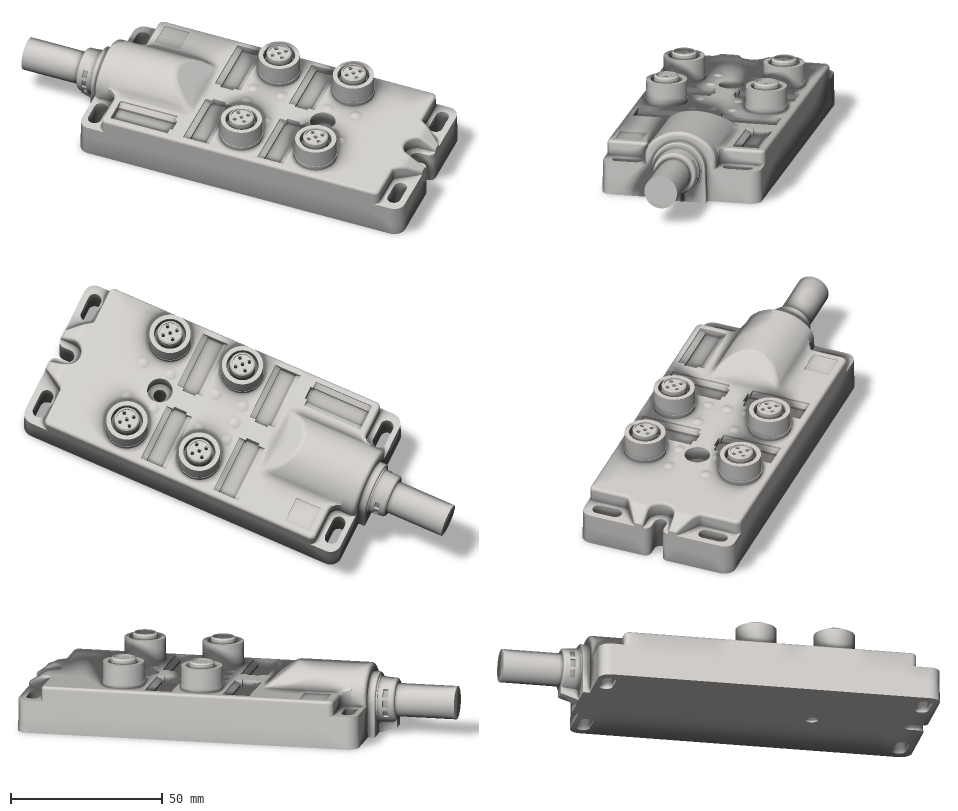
import cadquery as cq
import math

LENGTH = 115.3
WIDTH = 54.0
DECK_Z = 16.0
EAR_Z = 11.0
TOTAL_HEIGHT = 25.1
DRAFT = 1.0
CORNER_R = 3.9
RIM_R = 1.0

EAR_X = 8.3
EAR_CORNER_R = 3.2
DECK_CORNER_R = 1.9
SLOT_WIDTH = 4.5
SLOT_LENGTH = 10.2
SLOT_Y = 18.8
SLOT_INSET = 4.2
FAR_SLOT_INSET = 4.6

FAR_EAR_Y = 12.9
FAR_LUG_Y = 7.3
FAR_EAR_CORNER_R = 1.5
NOTCH_WIDTH = 4.3
NOTCH_X = 110.5
NOTCH_MOUTH_R = 2.2
NOTCH_RECESS_R = 4.5
SLOPE_X = 109.4
SLOPE_ANGLE = 32.0
SLOPE_BLEND_R = 4.3

HOOD_R = 13.8
HOOD_TOP = 23.0
HOOD_AXIS_Z = HOOD_TOP - HOOD_R
HOOD_HALF_WIDTH = 11.9
HOOD_RAMP_TOP_X = 25.3
HOOD_RAMP_END_X = 34.8
HOOD_BLEND_R = 2.2
HOOD_FOOT_HALF_WIDTH = 13.2
HOOD_SHOULDER_R = 7.2
HOOD_FRONT_LENGTH = EAR_X - EAR_CORNER_R
HOOD_FRONT_R = 1.1

CABLE_D = 11.0
CABLE_Z = 11.0
CABLE_LENGTH = 28.3
GLAND_X = -8.3
GLAND_R = 7.2
GLAND_REAR_R = 7.6
GLAND_EDGE_R = 0.9
SHOULDER_X = -2.7
SHOULDER_R = 8.0
COLLAR_X = -2.3
COLLAR_R = 9.0
COLLAR_FOOT_HALF = 9.5
COLLAR_EDGE_R = 0.5
COLLAR_OVERLAP = 2.9
WINDOW_X = -6.2
WINDOW_WIDTH = 1.7
WINDOW_DEPTH = 0.6
WINDOW_ANGLE = 22.0
WINDOW_PITCH = 29.0
WEDGE_WIDTH = 4.3
WEDGE_RISE = 2.0

SOCKET_XS = (54.5, 81.0)
SOCKET_Y = 17.0
SOCKET_D = 13.6
SOCKET_FOOT_D = 14.0
SOCKET_FOOT_TOP = 17.4
SOCKET_TOP = 23.7
SOCKET_BORE_D = 10.6
SOCKET_FLOOR = 20.1
INSERT_D = 8.3
INSERT_CHAMFER = 0.5
INSERT_RECESS_D = 6.9
INSERT_RECESS_DEPTH = 0.6
SEAL_TUBE_R = 0.6
CONTACT_D = 1.1
CONTACT_MOUTH_D = 1.5
CONTACT_CIRCLE_R = 2.5
CONTACT_DEPTH = 2.9
CONTACT_MOUTH_DEPTH = 0.5
OUTER_CONTACTS = 4

LABEL_WIDTH = 9.2
LABEL_LENGTH = 20.4
LABEL_FLOOR_WIDTH = 5.7
LABEL_DEPTH = 2.5
LABEL_RIM_DEPTH = 0.6
LABEL_SLOPE_DEPTH = 1.0
LABEL_TAB_LENGTH = 0.9
LABEL_TAB_WIDTH = 4.6
LABEL_OUTER_Y = 24.4
LABEL_XS = (41.4, 67.8)
SIDE_LABEL_X = 10.9
SIDE_LABEL_Y = -20.0
PLATE_SIZE = 8.9
PLATE_DEPTH = 0.3

LAMP_D = 3.7
LAMP_HEIGHT = 0.5
LAMP_Y = 6.6
LAMP_XS = (49.5, 59.5, 76.0, 85.9)
CENTRE_HOLE_X = 76.8
CENTRE_HOLE_D = 4.3
CENTRE_BORE_D = 8.5

BIG = 143.6
OVERLAP = 1.5


def block(x0, x1, y0, y1, z0, z1):
    """Axis-aligned box between two opposite corners."""
    return cq.Workplane("XY").box(x1 - x0, y1 - y0, z1 - z0, centered=False).translate((x0, y0, z0))


def cylinder(diameter, z0, z1):
    """Upright cylinder on the Z axis."""
    return cq.Workplane("XY", origin=(0, 0, z0)).circle(diameter / 2).extrude(z1 - z0)


def both_sides(shape):
    """The shape together with its mirror image across Y = 0."""
    return shape.union(shape.mirror("XZ"))


def upright_edges(body, x0, x1, y0, y1, z0):
    """Near-vertical edges whose middle lies in the given column above z0."""
    column = cq.selectors.BoxSelector((x0, y0, z0), (x1, y1, BIG))
    return body.edges(column).filter(lambda edge: abs(edge.tangentAt(0.5).z) > 0.9)


def drafted_block(height):
    """Housing footprint pulled upwards with draft."""
    return (
        cq.Workplane("XY")
        .sketch()
        .rect(LENGTH, WIDTH)
        .vertices()
        .fillet(CORNER_R)
        .finalize()
        .extrude(height, taper=DRAFT)
        .translate((LENGTH / 2, 0, 0))
    )


def near_ear_space():
    """Space above one cable-side ear, with a round inner corner."""
    space = block(-BIG, EAR_X, HOOD_HALF_WIDTH, BIG, EAR_Z, BIG)
    return space.edges("|Z and >X and <Y").fillet(EAR_CORNER_R)


def far_ear_space():
    """Space above one ear at the far end; its inner wall runs diagonally to the end face."""
    wall_x = LENGTH - EAR_X
    slant = (FAR_EAR_Y - FAR_LUG_Y) / EAR_X
    reach = 2 * EAR_X
    space = (
        cq.Workplane("XY", origin=(0, 0, EAR_Z))
        .polyline([(wall_x, BIG), (wall_x, FAR_EAR_Y), (wall_x + reach, FAR_EAR_Y - reach * slant), (BIG, BIG)])
        .close()
        .extrude(BIG)
    )
    bend = cq.selectors.BoxSelector((wall_x - 0.1, FAR_EAR_Y - 0.1, 0), (wall_x + 0.1, FAR_EAR_Y + 0.1, 2 * BIG))
    return space.edges(bend).edges("|Z").fillet(FAR_EAR_CORNER_R)


def notch_recess():
    """U-shaped lowered floor around the end notch."""
    return (
        cq.Workplane("XY", origin=(NOTCH_X, 0, EAR_Z))
        .circle(NOTCH_RECESS_R)
        .extrude(BIG)
        .union(block(NOTCH_X, BIG, -NOTCH_RECESS_R, NOTCH_RECESS_R, EAR_Z, BIG))
    )


def end_notch():
    """Open-ended screw notch."""
    half = NOTCH_WIDTH / 2
    return (
        cq.Workplane("XY")
        .moveTo(BIG, half)
        .lineTo(NOTCH_X, half)
        .threePointArc((NOTCH_X - half, 0), (NOTCH_X, -half))
        .lineTo(BIG, -half)
        .close()
        .extrude(BIG)
    )


def end_slope():
    """Material above the slope at the far end of the deck."""
    drop = (BIG - SLOPE_X) * math.tan(math.radians(SLOPE_ANGLE))
    return (
        cq.Workplane("XZ", origin=(0, BIG, 0))
        .polyline([(SLOPE_X, DECK_Z), (BIG, DECK_Z - drop), (BIG, BIG), (SLOPE_X, BIG)])
        .close()
        .extrude(2 * BIG)
    )


def housing():
    """Drafted box with lowered ears, rounded deck rim and the open end notch."""
    body = drafted_block(DECK_Z)
    body = body.cut(both_sides(near_ear_space())).cut(both_sides(far_ear_space()))
    side_y = WIDTH / 2
    far_wall_x = LENGTH - EAR_X
    for y0, y1 in ((-side_y, 1.5 - side_y), (side_y - 1.5, side_y)):
        body = upright_edges(body, EAR_X - 1.5, far_wall_x + 1.5, y0, y1, EAR_Z).fillet(DECK_CORNER_R)

    body = body.cut(notch_recess()).cut(end_slope())
    slope_start = cq.selectors.BoxSelector(
        (SLOPE_X - 0.1, -side_y, DECK_Z - 0.1), (SLOPE_X + 0.1, side_y, DECK_Z + 0.1)
    )
    body = body.edges(slope_start).fillet(SLOPE_BLEND_R)

    deck = body.faces(cq.selectors.NearestToPointSelector((LENGTH / 2, 0, DECK_Z)))
    body = deck.edges("not |Y").fillet(RIM_R)

    body = body.cut(end_notch())
    return upright_edges(body, LENGTH - 1.5, LENGTH + 1.5, -2.9, 2.9, 0).fillet(NOTCH_MOUTH_R)


def ear_slots():
    """Four through slots, one in each ear."""
    xs = (SLOT_INSET, LENGTH - FAR_SLOT_INSET)
    return (
        cq.Workplane("XY")
        .pushPoints([(x, side * SLOT_Y) for x in xs for side in (-1, 1)])
        .slot2D(SLOT_LENGTH, SLOT_WIDTH, 90)
        .extrude(DECK_Z)
    )


def hood():
    """Half-round hood with a ramp, blended into the deck around its foot."""
    arch = cq.Workplane("YZ").center(0, HOOD_AXIS_Z).circle(HOOD_R).extrude(HOOD_RAMP_END_X + 7.2)
    ramp_slope = (HOOD_TOP - DECK_Z) / (HOOD_RAMP_END_X - HOOD_RAMP_TOP_X)
    reach = 14.4
    above_ramp = (
        cq.Workplane("XZ", origin=(0, BIG, 0))
        .polyline(
            [
                (HOOD_RAMP_TOP_X - reach, HOOD_TOP + reach * ramp_slope),
                (HOOD_RAMP_END_X + reach, DECK_Z - reach * ramp_slope),
                (BIG, BIG),
            ]
        )
        .close()
        .extrude(2 * BIG)
    )
    arch = arch.cut(above_ramp)
    arch = arch.intersect(block(0, BIG, -BIG, BIG, DECK_Z - 2.9, BIG))
    arch = arch.edges("%ELLIPSE").fillet(HOOD_BLEND_R)
    slab = block(0, HOOD_RAMP_END_X + 2.9, -15.8, 15.8, DECK_Z - 2.9, DECK_Z)
    joined = slab.union(arch)
    foot = cq.selectors.BoxSelector((1.5, -14.4, DECK_Z - 0.07), (35.9, 14.4, DECK_Z + 0.07))
    joined = joined.edges(foot).fillet(HOOD_BLEND_R)
    trim = block(HOOD_FRONT_LENGTH, BIG, -HOOD_FOOT_HALF_WIDTH, HOOD_FOOT_HALF_WIDTH, DECK_Z - 2.2, BIG)
    return joined.intersect(trim).cut(both_sides(near_ear_space()))


def hood_front():
    """Upright-sided front of the hood standing between the two ears."""
    w = HOOD_HALF_WIDTH
    spring = HOOD_AXIS_Z + math.sqrt(HOOD_R**2 - w**2)
    front = (
        cq.Workplane("YZ")
        .moveTo(-w, 0)
        .lineTo(w, 0)
        .lineTo(w, spring)
        .threePointArc((0, HOOD_TOP), (-w, spring))
        .close()
        .extrude(HOOD_FRONT_LENGTH)
    )
    shoulders = cq.selectors.BoxSelector((-1.5, -14.4, spring - 0.1), (BIG, 14.4, spring + 0.1))
    front = front.edges(shoulders).edges("|X").fillet(HOOD_SHOULDER_R)
    front = front.intersect(drafted_block(HOOD_TOP + 1.5))
    front = front.intersect(block(-1.5, BIG, -BIG, BIG, EAR_Z, BIG))
    face = front.faces("<X").edges().filter(lambda e: e.Center().z > EAR_Z + 0.1)
    return face.fillet(HOOD_FRONT_R)


def cable_entry():
    """Cable stub, conical gland with its rib, and the arched collar against the housing."""
    cable = (
        cq.Workplane("YZ", origin=(-CABLE_LENGTH, 0, CABLE_Z))
        .circle(CABLE_D / 2)
        .extrude(CABLE_LENGTH + OVERLAP)
    )
    gland = (
        cq.Workplane("XY", origin=(0, 0, CABLE_Z))
        .moveTo(GLAND_X, 0)
        .lineTo(GLAND_X, GLAND_R)
        .lineTo(SHOULDER_X, GLAND_REAR_R)
        .lineTo(SHOULDER_X, SHOULDER_R)
        .lineTo(COLLAR_X, SHOULDER_R)
        .lineTo(COLLAR_X, 0)
        .close()
        .revolve(360, (0, 0, 0), (1, 0, 0))
        .faces("<X")
        .edges()
        .fillet(GLAND_EDGE_R)
    )
    collar = (
        cq.Workplane("YZ", origin=(COLLAR_X, 0, 0))
        .moveTo(-COLLAR_FOOT_HALF, 0)
        .lineTo(COLLAR_FOOT_HALF, 0)
        .lineTo(COLLAR_R, CABLE_Z)
        .threePointArc((0, CABLE_Z + COLLAR_R), (-COLLAR_R, CABLE_Z))
        .close()
        .extrude(COLLAR_OVERLAP - COLLAR_X)
    )
    collar = collar.faces("<X").edges("not <Z").fillet(COLLAR_EDGE_R)
    return cable.union(gland.cut(gland_windows())).union(gland_wedge()).union(collar)


def gland_windows():
    """Shallow windows round both flanks of the gland, three a side."""
    ring = (
        cq.Workplane("YZ", origin=(WINDOW_X, 0, CABLE_Z))
        .circle(GLAND_REAR_R + 1.5)
        .circle(GLAND_R - WINDOW_DEPTH)
        .extrude(WINDOW_WIDTH)
    )
    reach = 28.7
    spread = reach * math.tan(math.radians(WINDOW_ANGLE / 2))
    sector = (
        cq.Workplane("YZ", origin=(WINDOW_X, 0, CABLE_Z))
        .polyline([(0, 0), (reach, -spread), (reach, spread)])
        .close()
        .extrude(WINDOW_WIDTH)
    )
    windows = cq.Workplane("XY")
    for base in (0, 180):
        for step in (-1, 0, 1):
            angle = base + step * WINDOW_PITCH
            windows = windows.union(sector.rotate((0, 0, CABLE_Z), (1, 0, CABLE_Z), angle))
    return windows.intersect(ring)


def gland_wedge():
    """Rib under the gland, deepening towards the collar."""
    return (
        cq.Workplane("XZ", origin=(0, WEDGE_WIDTH / 2, 0))
        .polyline([(GLAND_X, WEDGE_RISE), (COLLAR_X, 0), (COLLAR_X, CABLE_Z), (GLAND_X, CABLE_Z)])
        .close()
        .extrude(WEDGE_WIDTH)
    )


def socket():
    """Round socket with a seal ring in its gap and a contact insert in the middle."""
    shell = cylinder(SOCKET_FOOT_D, DECK_Z - OVERLAP, SOCKET_FOOT_TOP)
    shell = shell.union(cylinder(SOCKET_D, DECK_Z - OVERLAP, SOCKET_TOP))
    shell = shell.cut(cylinder(SOCKET_BORE_D, SOCKET_FLOOR, TOTAL_HEIGHT))
    insert = cylinder(INSERT_D, DECK_Z, TOTAL_HEIGHT).faces(">Z").chamfer(INSERT_CHAMFER)
    seal = cq.Workplane(
        cq.Solid.makeTorus((SOCKET_BORE_D + INSERT_D) / 4, SEAL_TUBE_R, cq.Vector(0, 0, SOCKET_FLOOR))
    )
    places = [(0, 0)]
    for i in range(OUTER_CONTACTS):
        angle = 2 * math.pi * (i + 0.5) / OUTER_CONTACTS
        places.append((CONTACT_CIRCLE_R * math.cos(angle), CONTACT_CIRCLE_R * math.sin(angle)))
    face_z = TOTAL_HEIGHT - INSERT_RECESS_DEPTH
    insert = insert.cut(cylinder(INSERT_RECESS_D, face_z, TOTAL_HEIGHT))
    contact = cylinder(CONTACT_D, face_z - CONTACT_DEPTH, face_z)
    contact = contact.union(cylinder(CONTACT_MOUTH_D, face_z - CONTACT_MOUTH_DEPTH, face_z))
    for x, y in places:
        insert = insert.cut(contact.translate((x, y, 0)))
    return shell.union(seal).union(insert)


def label_trough():
    """Trough along +Y from the origin: sloped flanks, sunken floor and a tab at the far end."""
    half = LABEL_WIDTH / 2
    floor_half = LABEL_FLOOR_WIDTH / 2
    rim_z = DECK_Z - LABEL_RIM_DEPTH
    ledge_z = rim_z - LABEL_SLOPE_DEPTH
    floor_z = DECK_Z - LABEL_DEPTH
    trough = (
        cq.Workplane("XZ")
        .polyline(
            [
                (-half, DECK_Z),
                (-half, rim_z),
                (-floor_half, ledge_z),
                (-floor_half, floor_z),
                (floor_half, floor_z),
                (floor_half, ledge_z),
                (half, rim_z),
                (half, DECK_Z),
            ]
        )
        .close()
        .extrude(-LABEL_LENGTH)
    )
    tab_half = LABEL_TAB_WIDTH / 2
    tab = block(-tab_half, tab_half, 0, LABEL_LENGTH + LABEL_TAB_LENGTH, floor_z, DECK_Z)
    return trough.union(tab)


def plate_recess():
    """Shallow square recess beside the hood."""
    y0 = LABEL_OUTER_Y - PLATE_SIZE
    return block(SIDE_LABEL_X, SIDE_LABEL_X + PLATE_SIZE, y0, LABEL_OUTER_Y, DECK_Z - PLATE_DEPTH, BIG)


def lamp():
    """Low spherical dome."""
    radius = ((LAMP_D / 2) ** 2 + LAMP_HEIGHT**2) / (2 * LAMP_HEIGHT)
    ball = cq.Workplane("XY").sphere(radius).translate((0, 0, DECK_Z + LAMP_HEIGHT - radius))
    return ball.intersect(cylinder(LAMP_D, DECK_Z - 0.7, DECK_Z + 1.5))


result = housing()
result = result.cut(block(-1.5, HOOD_FRONT_LENGTH, -BIG, BIG, EAR_Z, BIG))
result = result.union(hood_front()).union(hood()).union(cable_entry()).cut(ear_slots())

for x in LABEL_XS:
    result = result.cut(both_sides(label_trough().translate((x, -LABEL_OUTER_Y, 0))))
side_label = label_trough().rotate((0, 0, 0), (0, 0, 1), -90)
result = result.cut(side_label.translate((SIDE_LABEL_X, SIDE_LABEL_Y, 0)))
result = result.cut(plate_recess())

for x in SOCKET_XS:
    result = result.union(both_sides(socket().translate((x, SOCKET_Y, 0))))

lamp_places = [(x, side * LAMP_Y) for x in LAMP_XS for side in (-1, 1)]
lamp_places.append((LAMP_XS[0], 0))
for x, y in lamp_places:
    result = result.union(lamp().translate((x, y, 0)))

result = result.cut(cylinder(CENTRE_HOLE_D, -1.5, BIG).translate((CENTRE_HOLE_X, 0, 0)))
result = result.cut(cylinder(CENTRE_BORE_D, EAR_Z, BIG).translate((CENTRE_HOLE_X, 0, 0)))